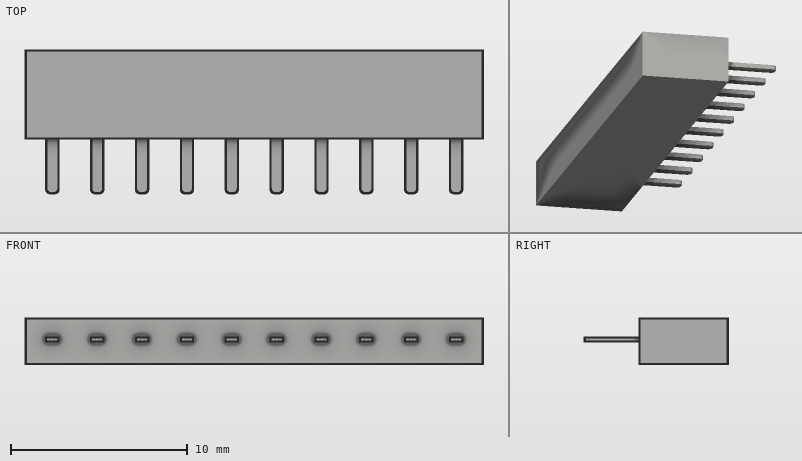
import cadquery as cq

housing_length = 25.9
housing_depth = 5.0
housing_height = 2.6

pin_count = 10
pin_pitch = 2.54
pin_length = 3.1
pin_width = 0.7
pin_thickness = 0.25
pin_center_z = 0.1
tip_radius = 0.25


def make_housing():
    return cq.Workplane("XY").box(housing_length, housing_depth, housing_height)


def make_pin(center_x):
    """Flat pin with the two corners of its tip rounded."""
    center_y = -(housing_depth + pin_length) / 2
    pin = cq.Workplane("XY").box(pin_width, pin_length, pin_thickness)
    rounded_pin = pin.faces("<Y").edges("|Z").fillet(tip_radius)
    return rounded_pin.translate((center_x, center_y, pin_center_z))


result = make_housing()
first_pin_x = -pin_pitch * (pin_count - 1) / 2
for index in range(pin_count):
    result = result.union(make_pin(first_pin_x + index * pin_pitch))